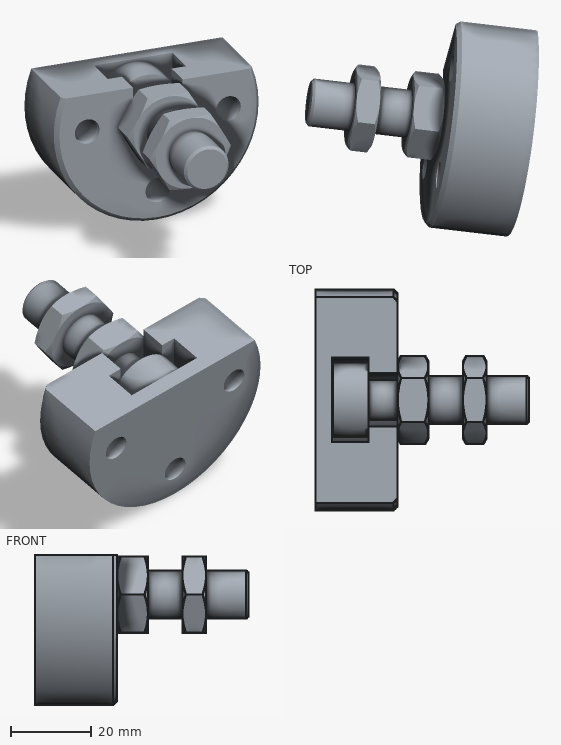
import cadquery as cq
import math

housing_diameter = 54.95
housing_length = 20.5
flat_height = 9.9
housing_chamfer = 1.1
mount_hole_diameter = 6.6
mount_hole_offset = 18.95
mount_hole_angles = (0, 180, 270)

head_slot_start = 4.2
head_slot_end = 13.2
head_slot_width = 21.0
neck_slot_width = 13.3

head_diameter = 18.5
head_clearance = 0.2
neck_diameter = 10.0
shank_diameter = 12.0
shank_chamfer = 0.65
stud_end = 53.2
collar_length = 7.65

across_flats = 19.0
hex_chamfer_angle = 30.0
nut_start = 36.7
nut_length = 5.9


def rod(start, end, diameter):
    """Cylinder on the X axis."""
    return cq.Workplane("YZ").workplane(offset=start).circle(diameter / 2).extrude(end - start)


def u_slot(start, end, width):
    """Cutter with a half-round floor about the X axis, open through the flat top."""
    radius = width / 2
    return (
        cq.Workplane("YZ")
        .workplane(offset=start)
        .moveTo(-radius, flat_height)
        .lineTo(-radius, 0)
        .threePointArc((0, -radius), (radius, 0))
        .lineTo(radius, flat_height)
        .close()
        .extrude(end - start)
    )


def hexagon(start, length):
    """Hexagonal prism with corners at +Y and -Y, its corners chamfered at both ends."""
    corner_diameter = across_flats / math.cos(math.radians(30))
    prism = (
        cq.Workplane("YZ")
        .workplane(offset=start)
        .polygon(6, corner_diameter)
        .extrude(length)
    )
    radial_cut = (corner_diameter - across_flats) / 2
    axial_cut = radial_cut * math.tan(math.radians(hex_chamfer_angle))
    end = start + length
    envelope = (
        cq.Workplane("XY")
        .moveTo(start, 0)
        .lineTo(start, across_flats / 2)
        .lineTo(start + axial_cut, corner_diameter / 2)
        .lineTo(end - axial_cut, corner_diameter / 2)
        .lineTo(end, across_flats / 2)
        .lineTo(end, 0)
        .close()
        .revolve(360, (0, 0, 0), (1, 0, 0))
    )
    return prism.intersect(envelope)


def make_housing():
    disc = rod(0, housing_length, housing_diameter).faces(">X").edges().chamfer(housing_chamfer)
    kept_height = flat_height + housing_diameter / 2
    keep = (
        cq.Workplane("XY")
        .workplane(offset=flat_height - kept_height)
        .rect(2 * housing_length, housing_diameter)
        .extrude(kept_height)
    )
    body = disc.intersect(keep)
    body = body.cut(u_slot(head_slot_start, head_slot_end, head_slot_width))
    body = body.cut(u_slot(head_slot_end, housing_length, neck_slot_width))
    for angle in mount_hole_angles:
        y = mount_hole_offset * math.cos(math.radians(angle))
        z = mount_hole_offset * math.sin(math.radians(angle))
        body = body.cut(rod(0, housing_length, mount_hole_diameter).translate((0, y, z)))
    return body


def make_stud():
    head = rod(head_slot_start + head_clearance, head_slot_end, head_diameter)
    neck = rod(head_slot_end, housing_length, neck_diameter)
    collar = hexagon(housing_length, collar_length)
    shank = rod(housing_length + collar_length, stud_end, shank_diameter)
    shank = shank.faces(">X").edges().chamfer(shank_chamfer)
    return head.union(neck).union(collar).union(shank)


def make_nut():
    bore = rod(nut_start, nut_start + nut_length, shank_diameter)
    return hexagon(nut_start, nut_length).cut(bore)


housing = make_housing()
stud = make_stud()
nut = make_nut()

result = cq.Compound.makeCompound([housing.val(), stud.val(), nut.val()])